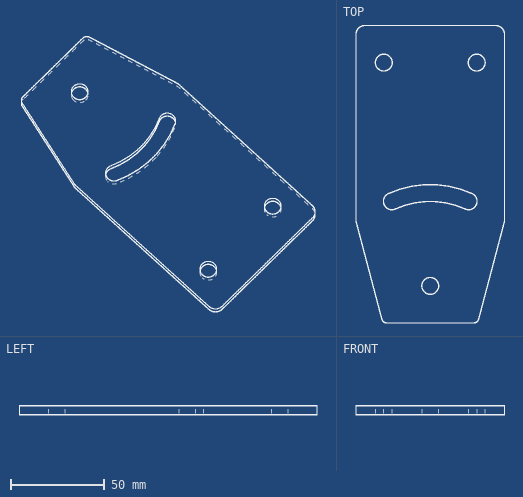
import cadquery as cq
import math

length = 160.0
width = 80.0
thickness = 5.0
taper_length = 54.9
narrow_end_width = 51.0
wide_corner_radius = 5.0
narrow_corner_radius = 3.0
shoulder_radius = 5.0

hole_diameter = 9.0
hole_end_distance = 20.0
mounting_hole_spacing = 50.0
slot_radius = 50.0
slot_width = 9.0
slot_half_angle = 24.4

half_length = length / 2
half_width = width / 2
shoulder_y = taper_length - half_length
pivot_y = hole_end_distance - half_length
mounting_y = half_length - hole_end_distance


def make_plate():
    """Rectangular plate tapering to a narrower -Y end, with rounded corners."""
    half_narrow = narrow_end_width / 2
    outline = [
        (-half_width, half_length),
        (-half_width, shoulder_y),
        (-half_narrow, -half_length),
        (half_narrow, -half_length),
        (half_width, shoulder_y),
        (half_width, half_length),
    ]
    plate = cq.Workplane("XY").polyline(outline).close().extrude(thickness)
    plate = plate.edges("|Z and >Y").fillet(wide_corner_radius)
    plate = plate.edges("|Z and <Y").fillet(narrow_corner_radius)
    shoulders = cq.selectors.BoxSelector(
        (-width, shoulder_y - shoulder_radius, -thickness),
        (width, shoulder_y + shoulder_radius, thickness),
    )
    return plate.edges("|Z").edges(shoulders).fillet(shoulder_radius)


def slot_point(radius, angle):
    """Point at a radius from the pivot, with the angle in degrees from +Y toward +X."""
    turn = math.radians(angle)
    return (radius * math.sin(turn), pivot_y + radius * math.cos(turn))


def make_slot():
    """Round-ended slot following an arc about the pivot hole."""
    outer = slot_radius + slot_width / 2
    inner = slot_radius - slot_width / 2
    tip_radius = math.hypot(slot_radius, slot_width / 2)
    tip_angle = slot_half_angle + math.degrees(math.atan(slot_width / 2 / slot_radius))
    return (
        cq.Workplane("XY")
        .moveTo(*slot_point(outer, -slot_half_angle))
        .threePointArc(slot_point(outer, 0), slot_point(outer, slot_half_angle))
        .threePointArc(slot_point(tip_radius, tip_angle), slot_point(inner, slot_half_angle))
        .threePointArc(slot_point(inner, 0), slot_point(inner, -slot_half_angle))
        .threePointArc(slot_point(tip_radius, -tip_angle), slot_point(outer, -slot_half_angle))
        .close()
        .extrude(thickness)
    )


def make_holes():
    """Two mounting holes at the wide end and the pivot hole at the narrow end."""
    centers = [
        (-mounting_hole_spacing / 2, mounting_y),
        (mounting_hole_spacing / 2, mounting_y),
        (0, pivot_y),
    ]
    return cq.Workplane("XY").pushPoints(centers).circle(hole_diameter / 2).extrude(thickness)


result = make_plate().cut(make_holes()).cut(make_slot())